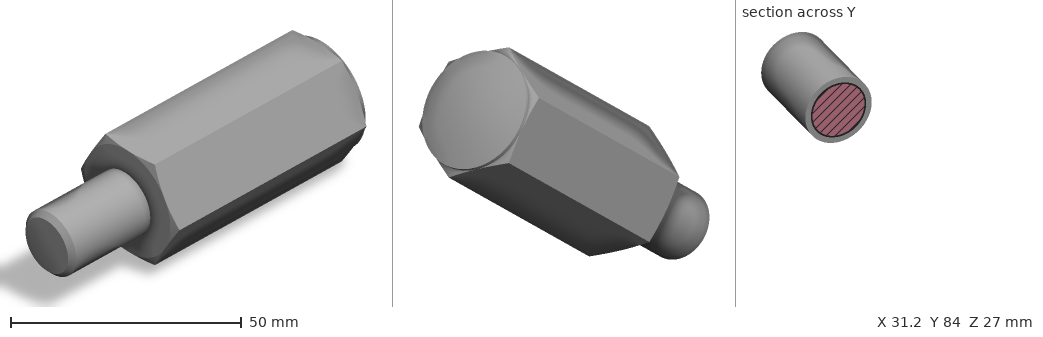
import cadquery as cq
import math

total_length = 84.0
across_flats = 27.0
stud_length = 24.0
stud_diameter = 16.0
stud_chamfer = 1.3
relief_diameter = 13.0
relief_length = 0.75
dome_height = 1.85
collar_length = 1.0
corner_chamfer_length = 0.75

flat_radius = across_flats / 2
across_corners = across_flats / math.cos(math.radians(30))
corner_radius = across_corners / 2
stud_radius = stud_diameter / 2
relief_radius = relief_diameter / 2
half_length = total_length / 2
stud_tip = -half_length
hex_start = stud_tip + stud_length
dome_start = half_length - dome_height
hex_end = dome_start - collar_length
dome_radius = (flat_radius**2 + dome_height**2) / (2 * dome_height)
dome_mid_radius = flat_radius / 2
dome_mid = half_length - dome_radius + math.sqrt(dome_radius**2 - dome_mid_radius**2)


def hex_body():
    """Hexagonal prism with conically chamfered corners at both ends."""
    prism = (
        cq.Workplane("XZ", origin=(0, hex_end, 0))
        .polygon(6, across_corners)
        .extrude(hex_end - hex_start)
    )
    corner_envelope = (
        cq.Workplane("XY")
        .moveTo(0, hex_start)
        .lineTo(flat_radius, hex_start)
        .lineTo(corner_radius, hex_start + corner_chamfer_length)
        .lineTo(corner_radius, hex_end - corner_chamfer_length)
        .lineTo(flat_radius, hex_end)
        .lineTo(0, hex_end)
        .close()
        .revolve(360, (0, 0, 0), (0, 1, 0))
    )
    return prism.intersect(corner_envelope)


def domed_collar():
    """Round collar capped by a shallow spherical dome."""
    return (
        cq.Workplane("XY")
        .moveTo(0, hex_end)
        .lineTo(flat_radius, hex_end)
        .lineTo(flat_radius, dome_start)
        .threePointArc((dome_mid_radius, dome_mid), (0, half_length))
        .close()
        .revolve(360, (0, 0, 0), (0, 1, 0))
    )


def stud():
    """Stud with a chamfered tip and a relief groove next to the hexagon."""
    relief_start = hex_start - relief_length
    return (
        cq.Workplane("XY")
        .moveTo(0, stud_tip)
        .lineTo(stud_radius - stud_chamfer, stud_tip)
        .lineTo(stud_radius, stud_tip + stud_chamfer)
        .lineTo(stud_radius, relief_start)
        .lineTo(relief_radius, relief_start)
        .lineTo(relief_radius, hex_start)
        .lineTo(0, hex_start)
        .close()
        .revolve(360, (0, 0, 0), (0, 1, 0))
    )


result = hex_body().union(domed_collar()).union(stud())